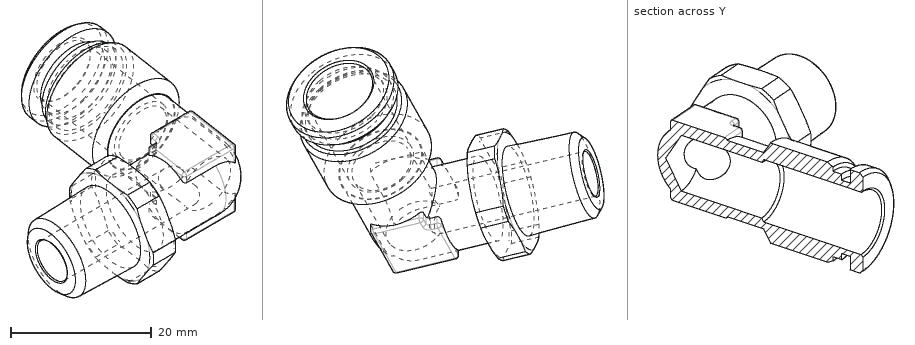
import cadquery as cq
import math


overall_x = 38.8
overall_y = 35.7
nut_corner_radius = 9.2
collar_radius = 8.2
tube_end = overall_x - nut_corner_radius
thread_end = overall_y - collar_radius

pipe_radius = 6.25

ring_chamfer = 0.62
ring_width = 2.3
groove_end = 3.72
collar_start = 5.25
collar_full_start = 6.15
collar_full_end = 16.15
collar_end = 17.3
collar_end_radius = 6.35
edge_radius = 7.65
groove_radius = 6.0
sleeve_radius = 7.0

nut_start = 11.8
nut_thickness = 4.58
nut_end = nut_start + nut_thickness
nut_across_flats = 17.0
nut_face_radius = 8.6
nut_chamfer_length = 0.2
thread_radius = 6.6
thread_tip_radius = 6.32
thread_chamfer_length = 1.05
thread_end_radius = 5.28

pad_inner = 5.98
pad_outer = 4.0
pad_notch = 4.0
pad_height = 6.55
pad_fillet = 0.5

mouth_radius = 5.35
socket_radius = 5.05
tube_bore_radius = 4.5
tube_bore_end = 2.05
drill_half_angle = math.radians(59)
thread_bore_radius = 3.3
bore_chamfer = 0.2


def turned_about_x(profile):
    """Solid of revolution about X from (x, radius) points, from and back to the axis."""
    return cq.Workplane("XY").polyline(profile).close().revolve(360, (0, 0), (1, 0))


def turned_about_y(profile):
    """Solid of revolution about Y from (distance along -Y, radius) points, from and back to the axis."""
    points = [(radius, -distance) for distance, radius in profile]
    return cq.Workplane("XY").polyline(points).close().revolve(360, (0, 0), (0, 1))


def tube_leg():
    """Release ring, groove, sleeve, collar and pipe up to the elbow centre."""
    profile = [
        (0, 0),
        (0, edge_radius),
        (ring_chamfer, collar_radius),
        (ring_width, collar_radius),
        (ring_width, groove_radius),
        (groove_end, groove_radius),
        (groove_end, sleeve_radius),
        (collar_start, sleeve_radius),
        (collar_start, edge_radius),
        (collar_full_start, collar_radius),
        (collar_full_end, collar_radius),
        (collar_end, collar_end_radius),
        (collar_end, pipe_radius),
        (tube_end, pipe_radius),
        (tube_end, 0),
    ]
    return turned_about_x([(distance - tube_end, radius) for distance, radius in profile])


def thread_leg():
    """Pipe from the elbow centre and the tapered thread with its end chamfer."""
    return turned_about_y([
        (0, 0),
        (0, pipe_radius),
        (nut_end, pipe_radius),
        (nut_end, thread_radius),
        (thread_end - thread_chamfer_length, thread_tip_radius),
        (thread_end, thread_end_radius),
        (thread_end, 0),
    ])


def hex_nut():
    """Hexagon with flats facing Z, corners turned round and both faces chamfered."""
    hexagon = (
        cq.Workplane("XZ", origin=(0, -nut_start, 0))
        .polygon(6, nut_across_flats / math.cos(math.radians(30)))
        .extrude(nut_thickness)
    )
    turned_limit = turned_about_y([
        (nut_start, 0),
        (nut_start, nut_face_radius),
        (nut_start + nut_chamfer_length, nut_corner_radius),
        (nut_end - nut_chamfer_length, nut_corner_radius),
        (nut_end, nut_face_radius),
        (nut_end, 0),
    ])
    return hexagon.intersect(turned_limit)


def elbow_pads():
    """Notched square block through the elbow; only its top and bottom stand proud of the pipes."""
    outline = [
        (pad_outer, pad_outer),
        (-pad_inner, pad_outer),
        (-pad_inner, -pad_notch),
        (-pad_notch, -pad_notch),
        (-pad_notch, -pad_inner),
        (pad_outer, -pad_inner),
    ]
    return (
        cq.Workplane("XY", origin=(0, 0, -pad_height))
        .polyline(outline)
        .close()
        .extrude(2 * pad_height)
        .edges("|Z")
        .fillet(pad_fillet)
        .faces("<Z or >Z")
        .edges()
        .fillet(pad_fillet)
    )


def tube_passage():
    """Chamfered tube socket, conical shoulder, and a bore with a conical drill tip."""
    slope = math.tan(drill_half_angle)
    mouth_x = -tube_end
    shoulder_x = mouth_x + collar_end
    shoulder_length = (socket_radius - tube_bore_radius) / slope
    tip_length = tube_bore_radius / slope
    return turned_about_x([
        (mouth_x, 0),
        (mouth_x, mouth_radius),
        (mouth_x + mouth_radius - socket_radius, socket_radius),
        (shoulder_x, socket_radius),
        (shoulder_x + shoulder_length, tube_bore_radius),
        (tube_bore_end, tube_bore_radius),
        (tube_bore_end + tip_length, 0),
    ])


def thread_passage():
    """Bore from the thread end into the tube bore, with a chamfered mouth."""
    return turned_about_y([
        (0, 0),
        (0, thread_bore_radius),
        (thread_end - bore_chamfer, thread_bore_radius),
        (thread_end, thread_bore_radius + bore_chamfer),
        (thread_end, 0),
    ])


body = (
    tube_leg()
    .union(thread_leg())
    .union(cq.Workplane("XY").sphere(pipe_radius))
    .union(hex_nut())
    .union(elbow_pads())
)
result = body.cut(tube_passage()).cut(thread_passage())